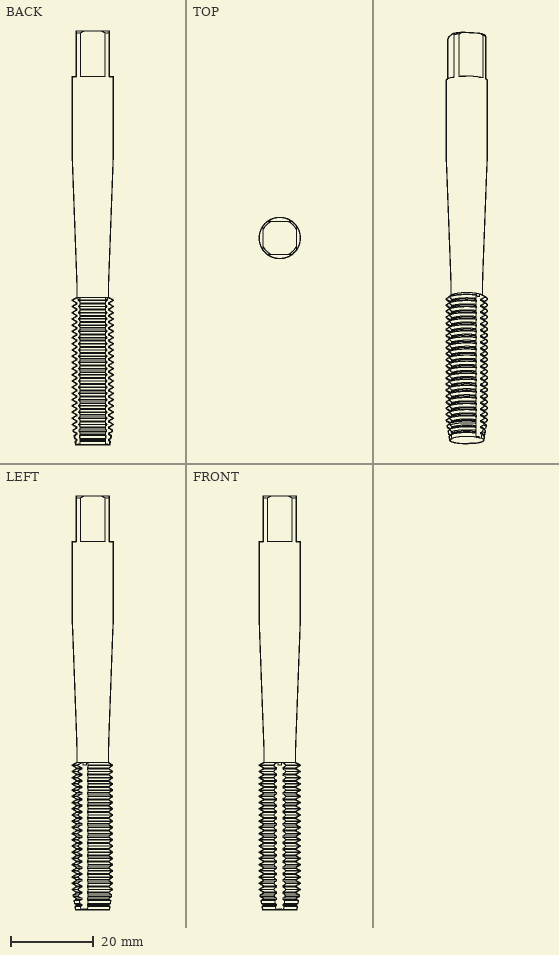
import cadquery as cq
import math

TOTAL_LENGTH = 100.0
THREAD_LENGTH = 35.0
NECK_TOP_Z = 39.0
CYLINDER_BOTTOM_Z = 70.0
SQUARE_LENGTH = 11.0

SHANK_RADIUS = 5.0
NECK_RADIUS = 3.85
SQUARE_WIDTH = 8.0
END_CHAMFER = 0.5

THREAD_RADIUS = 5.0
PITCH = 1.5
THREAD_DEPTH = 0.975
ROOT_RADIUS = THREAD_RADIUS - THREAD_DEPTH
CREST_WIDTH = 0.1
FLANK_ANGLE = 30.0
FLANK_SLOPE = math.tan(math.radians(FLANK_ANGLE))
TOP_ROOT_Z = THREAD_LENGTH - (PITCH + CREST_WIDTH) / 2
GROOVE_OVERSHOOT = 0.5
GROOVE_COUNT = int(THREAD_LENGTH / PITCH)

CORE_RADIUS = NECK_RADIUS
COLLAR_TOP_Z = THREAD_LENGTH + FLANK_SLOPE * (THREAD_RADIUS - CORE_RADIUS)

LEAD_LENGTH = 5.0
LEAD_RADIUS = 4.15
LEAD_RIM_LENGTH = 0.25

FLUTE_COUNT = 3
FLUTE_FIRST_ANGLE = -90.0
FLUTE_RADIUS = 1.5
FLUTE_FLOOR_RADIUS = 3.75


def make_shank():
    """Turned shank with a neck below, a taper, and a driving square on top."""
    waste_width = 4 * SHANK_RADIUS
    turned = (
        cq.Workplane("XZ")
        .moveTo(0, COLLAR_TOP_Z)
        .lineTo(NECK_RADIUS, COLLAR_TOP_Z)
        .lineTo(NECK_RADIUS, NECK_TOP_Z)
        .lineTo(SHANK_RADIUS, CYLINDER_BOTTOM_Z)
        .lineTo(SHANK_RADIUS, TOTAL_LENGTH - END_CHAMFER)
        .lineTo(SHANK_RADIUS - END_CHAMFER, TOTAL_LENGTH)
        .lineTo(0, TOTAL_LENGTH)
        .close()
        .revolve(360, (0, 0), (0, 1))
    )
    square_waste = (
        cq.Workplane("XY", origin=(0, 0, TOTAL_LENGTH - SQUARE_LENGTH))
        .rect(waste_width, waste_width)
        .rect(SQUARE_WIDTH, SQUARE_WIDTH)
        .extrude(SQUARE_LENGTH)
    )
    return turned.cut(square_waste)


def make_thread_groove(root_z):
    """V ring between two crests, widened past the crest so that it cuts clean through."""
    half_mouth = (PITCH - CREST_WIDTH) / 2
    half_root = half_mouth - FLANK_SLOPE * (THREAD_RADIUS - ROOT_RADIUS)
    half_outer = half_mouth + FLANK_SLOPE * GROOVE_OVERSHOOT
    outer_radius = THREAD_RADIUS + GROOVE_OVERSHOOT
    return (
        cq.Workplane("XZ")
        .moveTo(ROOT_RADIUS, root_z - half_root)
        .lineTo(outer_radius, root_z - half_outer)
        .lineTo(outer_radius, root_z + half_outer)
        .lineTo(ROOT_RADIUS, root_z + half_root)
        .close()
        .revolve(360, (0, 0), (0, 1))
    )


def make_flute(angle):
    """Cutter for one flute, centred on the given angle around Z."""
    return (
        cq.Workplane("XY")
        .center(FLUTE_FLOOR_RADIUS + FLUTE_RADIUS, 0)
        .circle(FLUTE_RADIUS)
        .extrude(COLLAR_TOP_Z)
        .rotate((0, 0, 0), (0, 0, 1), angle)
    )


def make_core_disc(bottom_z, top_z):
    """Full round disc of the core, which closes the flute floors at one end."""
    return cq.Workplane("XY", origin=(0, 0, bottom_z)).circle(CORE_RADIUS).extrude(top_z - bottom_z)


def make_threaded_end():
    """Fluted thread with its lead taper, ending at the seat of the neck."""
    blank = (
        cq.Workplane("XZ")
        .lineTo(LEAD_RADIUS, 0)
        .lineTo(THREAD_RADIUS, LEAD_LENGTH)
        .lineTo(THREAD_RADIUS, THREAD_LENGTH)
        .lineTo(CORE_RADIUS, COLLAR_TOP_Z)
        .lineTo(0, COLLAR_TOP_Z)
        .close()
        .revolve(360, (0, 0), (0, 1))
    )
    for i in range(GROOVE_COUNT):
        blank = blank.cut(make_thread_groove(TOP_ROOT_Z - i * PITCH))
    for i in range(FLUTE_COUNT):
        blank = blank.cut(make_flute(FLUTE_FIRST_ANGLE + i * 360 / FLUTE_COUNT))
    lead_rim = make_core_disc(0, LEAD_RIM_LENGTH)
    seat_rim = make_core_disc(THREAD_LENGTH, COLLAR_TOP_Z)
    return blank.union(lead_rim).union(seat_rim)


shank = make_shank()
threaded_end = make_threaded_end()

result = cq.Compound.makeCompound([shank.val(), threaded_end.val()])